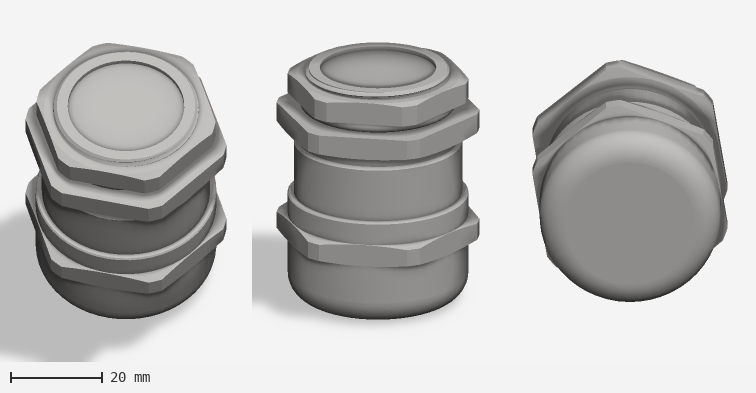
import cadquery as cq
import math

TOTAL_HEIGHT = 53.23

WRENCH_SIZE = 40.0
WRENCH_CORNER_DIA = 44.49
LOCKNUT_SIZE = 35.9
LOCKNUT_CORNER_DIA = 39.6
HEX_HEIGHT = 5.0
HEX_BEVEL_ANGLE = math.radians(15)

CAP_DIA = 39.55
CAP_TOP = 24.3
CAP_HEX_BOTTOM = 14.2
CAP_TOP_CHAMFER = 0.3
DOME_RADIUS = 5.5

BARREL_DIA = 36.85
NECK_DIA = 35.33
BARREL_TOP = 36.7
SHOULDER_HEIGHT = 0.6
COLLAR_BOTTOM = 39.2
COLLAR_TOP = COLLAR_BOTTOM + HEX_HEIGHT
NECK_FILLET = 0.7

SEAL_DIA = 34.05
SEAL_HEIGHT = 2.14
SEAL_TOP = COLLAR_TOP + SEAL_HEIGHT

THREAD_DIA = 31.85
THREAD_PITCH = 1.5
THREAD_FLANK_ANGLE = math.radians(30)
SHARP_THREAD_DEPTH = THREAD_PITCH / (2 * math.tan(THREAD_FLANK_ANGLE))
THREAD_DEPTH = SHARP_THREAD_DEPTH * 5 / 8
ROOT_RADIUS = THREAD_DIA / 2 - THREAD_DEPTH
CREST_HEIGHT = 51.68
STEM_RECESS_DIA = 25.5
STEM_RECESS_DEPTH = 1.0

LOCKNUT_BOTTOM = 46.7


def cylinder(diameter, bottom, top):
    return cq.Workplane("XY").workplane(offset=bottom).circle(diameter / 2).extrude(top - bottom)


def hexagon(across_flats, corner_dia, bottom, bevel_bottom=False, bevel_top=False):
    """Hexagonal prism with rounded corners and optional conical bevels on its end faces."""
    top = bottom + HEX_HEIGHT
    flat_radius = across_flats / 2
    corner_radius = corner_dia / 2
    bevel_height = (corner_radius - flat_radius) * math.tan(HEX_BEVEL_ANGLE)

    profile = cq.Workplane("XZ").moveTo(0, bottom)
    if bevel_bottom:
        profile = profile.lineTo(flat_radius, bottom).lineTo(corner_radius, bottom + bevel_height)
    else:
        profile = profile.lineTo(corner_radius, bottom)
    if bevel_top:
        profile = profile.lineTo(corner_radius, top - bevel_height).lineTo(flat_radius, top)
    else:
        profile = profile.lineTo(corner_radius, top)
    turned_blank = profile.lineTo(0, top).close().revolve(360, (0, 0), (0, 1))

    sharp_corner_dia = across_flats / math.cos(math.radians(30))
    prism = cq.Workplane("XY").workplane(offset=bottom).polygon(6, sharp_corner_dia).extrude(HEX_HEIGHT)
    return prism.intersect(turned_blank)


def cap():
    """Domed cap with a chamfered top rim and a wrench hexagon around it."""
    shell = cylinder(CAP_DIA, 0, CAP_TOP)
    shell = shell.faces("<Z").edges().fillet(DOME_RADIUS)
    shell = shell.faces(">Z").edges().chamfer(CAP_TOP_CHAMFER)
    return shell.union(hexagon(WRENCH_SIZE, WRENCH_CORNER_DIA, CAP_HEX_BOTTOM, True, True))


def barrel():
    """Barrel, its conical shoulder, and the neck that flares in a fillet to the collar."""
    barrel_radius = BARREL_DIA / 2
    neck_radius = NECK_DIA / 2
    flare_offset = NECK_FILLET * (1 - math.cos(math.radians(45)))
    return (
        cq.Workplane("XZ")
        .moveTo(0, CAP_TOP)
        .lineTo(barrel_radius, CAP_TOP)
        .lineTo(barrel_radius, BARREL_TOP - SHOULDER_HEIGHT)
        .lineTo(neck_radius, BARREL_TOP)
        .lineTo(neck_radius, COLLAR_BOTTOM - NECK_FILLET)
        .threePointArc(
            (neck_radius + flare_offset, COLLAR_BOTTOM - flare_offset),
            (neck_radius + NECK_FILLET, COLLAR_BOTTOM),
        )
        .lineTo(0, COLLAR_BOTTOM)
        .close()
        .revolve(360, (0, 0), (0, 1))
    )


def thread_ridge(start, turns):
    """Helical ridge of trapezoidal section, rooted slightly inside the stem's core."""
    root_overlap = 0.1
    crest_radius = THREAD_DIA / 2
    base_radius = ROOT_RADIUS - root_overlap
    half_crest = THREAD_PITCH / 16
    half_base = half_crest + (crest_radius - base_radius) * math.tan(THREAD_FLANK_ANGLE)

    helix = cq.Wire.makeHelix(THREAD_PITCH, turns * THREAD_PITCH, base_radius, cq.Vector(0, 0, start))
    return (
        cq.Workplane("XZ")
        .moveTo(base_radius, start - half_base)
        .lineTo(crest_radius, start - half_crest)
        .lineTo(crest_radius, start + half_crest)
        .lineTo(base_radius, start + half_base)
        .close()
        .sweep(cq.Workplane(helix), isFrenet=True)
    )


def stem():
    """Threaded stem, made overlong and then trimmed to length and to its end chamfer."""
    turns_below = math.ceil((CREST_HEIGHT - SEAL_TOP) / THREAD_PITCH) + 1
    turns_above = math.ceil((TOTAL_HEIGHT - CREST_HEIGHT) / THREAD_PITCH) + 1
    turns = turns_below + turns_above
    ridge_start = CREST_HEIGHT - turns_below * THREAD_PITCH
    ridge_end = ridge_start + turns * THREAD_PITCH

    core = cylinder(2 * ROOT_RADIUS, ridge_start - THREAD_PITCH, ridge_end + THREAD_PITCH)
    overlong_stem = core.union(thread_ridge(ridge_start, turns))

    trim_margin = 2.0
    trim = cylinder(2 * (ROOT_RADIUS + trim_margin), SEAL_TOP, TOTAL_HEIGHT)
    trim = trim.faces(">Z").edges().chamfer(trim_margin)
    recess = cylinder(STEM_RECESS_DIA, TOTAL_HEIGHT - STEM_RECESS_DEPTH, TOTAL_HEIGHT)
    return overlong_stem.intersect(trim).cut(recess)


def seal_ring():
    """Seal ring with the stem's base inside it, as one disc with a fully rounded rim."""
    rim_radius = SEAL_DIA / 2
    flat_radius = rim_radius - SEAL_HEIGHT / 2
    return (
        cq.Workplane("XZ")
        .moveTo(0, COLLAR_TOP)
        .lineTo(flat_radius, COLLAR_TOP)
        .threePointArc((rim_radius, COLLAR_TOP + SEAL_HEIGHT / 2), (flat_radius, SEAL_TOP))
        .lineTo(0, SEAL_TOP)
        .close()
        .revolve(360, (0, 0), (0, 1))
    )


def gland():
    """Cap, barrel, collar, seal ring and threaded stem as one body."""
    collar = hexagon(WRENCH_SIZE, WRENCH_CORNER_DIA, COLLAR_BOTTOM, bevel_bottom=True)
    return cap().union(barrel()).union(collar).union(seal_ring()).union(stem())


def locknut():
    """Hexagonal nut whose bore fits over the thread crests."""
    nut = hexagon(LOCKNUT_SIZE, LOCKNUT_CORNER_DIA, LOCKNUT_BOTTOM, bevel_top=True)
    return nut.cut(cylinder(THREAD_DIA, LOCKNUT_BOTTOM, LOCKNUT_BOTTOM + HEX_HEIGHT))


result = cq.Compound.makeCompound([gland().val(), locknut().val()])